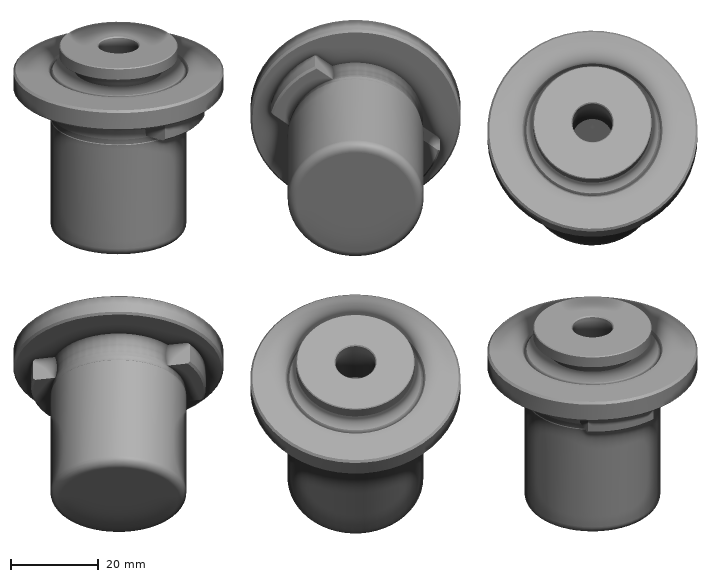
import cadquery as cq

total_height = 46.0

head_radius = 13.5
head_thickness = 3.0
head_chamfer = 0.2
stem_radius = 10.1
stem_length = 3.0

hole_radius = 4.6
hole_chamfer = 0.25
hole_depth = 12.0

flange_radius = 24.0
flange_thickness = 5.0
flange_chamfer = 0.5
head_bottom = total_height - head_thickness
flange_top = head_bottom - stem_length
flange_bottom = flange_top - flange_thickness
v_groove_radius = 15.5
v_groove_depth = 0.5

shoulder_radius = 15.35
waist_radius = 15.0
waist_height = 5.85
waist_bottom = flange_bottom - waist_height
waist_middle = flange_bottom - waist_height / 2

barrel_radius = 15.5
barrel_fillet = 1.95
shoulder_height = 1.2
shoulder_chamfer = barrel_radius - shoulder_radius
barrel_top = waist_bottom - shoulder_height

lug_radius = 19.9
lug_width = 15.95
lug_height = 5.55
lug_chamfer = 0.5


def disc(radius, bottom, height):
    return cq.Workplane("XY").workplane(offset=bottom).circle(radius).extrude(height)


def make_barrel():
    """Barrel, shoulder and concave waist as one turned profile."""
    return (
        cq.Workplane("XZ")
        .lineTo(barrel_radius, 0)
        .lineTo(barrel_radius, barrel_top - shoulder_chamfer)
        .lineTo(shoulder_radius, barrel_top)
        .lineTo(shoulder_radius, waist_bottom)
        .threePointArc((waist_radius, waist_middle), (shoulder_radius, flange_bottom))
        .lineTo(0, flange_bottom)
        .close()
        .revolve(360, (0, 0), (0, 1))
        .faces("<Z")
        .edges()
        .fillet(barrel_fillet)
    )


def make_lugs():
    """Chamfered disc trimmed to a flat-sided bar; its middle lies inside the waist."""
    bottom = flange_bottom - lug_height
    bar = (
        cq.Workplane("XY")
        .workplane(offset=bottom)
        .rect(2 * lug_radius, lug_width)
        .extrude(lug_height)
    )
    return disc(lug_radius, bottom, lug_height).edges().chamfer(lug_chamfer).intersect(bar)


def make_flange():
    flange = disc(flange_radius, flange_bottom, flange_thickness).edges().chamfer(flange_chamfer)
    groove = (
        cq.Workplane("XZ")
        .moveTo(v_groove_radius - v_groove_depth, flange_top)
        .lineTo(v_groove_radius, flange_top - v_groove_depth)
        .lineTo(v_groove_radius + v_groove_depth, flange_top)
        .close()
        .revolve(360, (0, 0), (0, 1))
    )
    return flange.cut(groove)


def make_head():
    head = disc(head_radius, head_bottom, head_thickness).edges().chamfer(head_chamfer)
    stem = disc(stem_radius, flange_top, stem_length)
    return head.union(stem)


def make_hole():
    """Blind hole with a chamfered mouth."""
    mouth_radius = hole_radius + hole_chamfer
    return (
        cq.Workplane("XZ")
        .moveTo(0, total_height)
        .lineTo(mouth_radius, total_height)
        .lineTo(hole_radius, total_height - hole_chamfer)
        .lineTo(hole_radius, total_height - hole_depth)
        .lineTo(0, total_height - hole_depth)
        .close()
        .revolve(360, (0, 0), (0, 1))
    )


result = make_barrel().union(make_lugs()).union(make_flange()).union(make_head()).cut(make_hole())